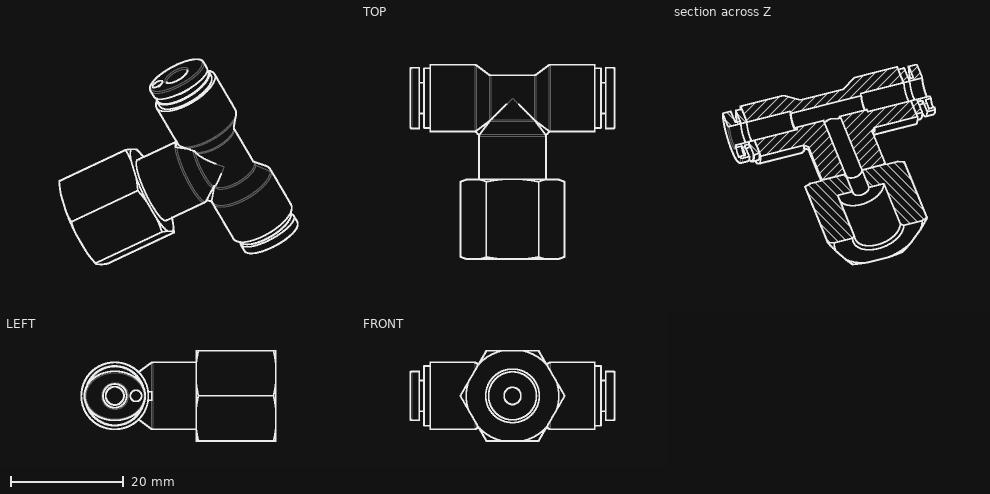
import cadquery as cq
import math


run_half_length = 18.1
nut_end_reach = 28.5
nut_length = 14.1
branch_length = nut_end_reach - nut_length

flange_thickness = 1.6
flange_width_y = 10.8
flange_width_z = 8.7
end_rounding = 0.25
neck_diameter = 5.5
neck_length = 0.8
sleeve_bore = 4.2
mark_hole_diameter = 2.0
mark_hole_depth = 1.0
mark_hole_offset = 3.75
sleeve_length = flange_thickness + neck_length

collar_diameter = 10.6
collar_length = 1.1
collar_bevel = 0.1
collar_face = run_half_length - sleeve_length

socket_diameter = 11.9
waist_diameter = 8.1
socket_end = collar_face - collar_length
cone_outer = 6.55
cone_inner = 4.0
cone_blend_radius = 0.5
web_thickness = 1.5
tube_bore = 4.18
tube_stop = cone_outer
run_bore = 3.2
branch_bore = 3.0

across_flats = 16.0
across_corners = across_flats / math.cos(math.radians(30))
corner_bevel_diameter = 16.4
corner_bevel_depth = 0.4
thread_bore = 8.5
thread_depth = 10.0
thread_mouth_bevel = 0.5


def cylinder(diameter, start, end):
    """Cylinder on the X axis between two X positions."""
    return cq.Workplane("YZ", origin=(start, 0, 0)).circle(diameter / 2).extrude(end - start)


def arm(length):
    """Waist, blended cone and full-diameter barrel on the X axis, starting at the centre."""
    waist_radius = waist_diameter / 2
    socket_radius = socket_diameter / 2
    solid = (
        cq.Workplane("XY")
        .polyline([
            (0, 0),
            (0, waist_radius),
            (cone_inner, waist_radius),
            (cone_outer, socket_radius),
            (length, socket_radius),
            (length, 0),
        ])
        .close()
        .revolve(360, (0, 0, 0), (1, 0, 0))
    )
    cone_rims = solid.faces("%CONE").edges("%CIRCLE")
    return cone_rims.fillet(cone_blend_radius)


def make_tee():
    right_arm = arm(socket_end)
    left_arm = right_arm.mirror("YZ")
    branch = arm(branch_length).rotate((0, 0, 0), (0, 0, 1), -90)

    shoulder = socket_diameter / 2
    web = (
        cq.Workplane("XY")
        .polyline([
            (-cone_outer, 0),
            (-cone_outer, -shoulder),
            (-shoulder, -cone_outer),
            (shoulder, -cone_outer),
            (cone_outer, -shoulder),
            (cone_outer, 0),
        ])
        .close()
        .extrude(web_thickness / 2, both=True)
    )

    tee = right_arm.union(left_arm).union(branch).union(web)
    tee = tee.cut(cylinder(run_bore, -socket_end, socket_end))
    for side in (-1, 1):
        tee = tee.cut(cylinder(tube_bore, side * tube_stop, side * socket_end))
    branch_passage = cylinder(branch_bore, 0, branch_length).rotate((0, 0, 0), (0, 0, 1), -90)
    return tee.cut(branch_passage)


def make_nut():
    nut = (
        cq.Workplane("XZ", origin=(0, -branch_length, 0))
        .polygon(6, across_corners)
        .extrude(nut_length)
    )

    middle_radius = across_corners / 2
    end_radius = corner_bevel_diameter / 2
    envelope = (
        cq.Workplane("XY")
        .polyline([
            (0, -branch_length),
            (end_radius, -branch_length),
            (middle_radius, -branch_length - corner_bevel_depth),
            (middle_radius, -nut_end_reach + corner_bevel_depth),
            (end_radius, -nut_end_reach),
            (0, -nut_end_reach),
        ])
        .close()
        .revolve(360, (0, 0, 0), (0, 1, 0))
    )
    nut = nut.intersect(envelope)

    outer_face = nut.faces("<Y").workplane(origin=(0, -nut_end_reach, 0))
    nut = outer_face.circle(thread_bore / 2).cutBlind(-thread_depth)
    mouth = nut.faces("<Y").edges(cq.selectors.RadiusNthSelector(0))
    nut = mouth.chamfer(thread_mouth_bevel)
    passage = cq.Workplane("XZ").circle(branch_bore / 2).extrude(nut_end_reach)
    return nut.cut(passage)


def make_collar():
    """Collar at the +X end."""
    collar = cylinder(collar_diameter, socket_end, collar_face)
    collar = collar.faces(">X").edges().chamfer(collar_bevel)
    return collar.cut(cylinder(tube_bore, socket_end, collar_face))


def make_sleeve():
    """Release sleeve at the +X end."""
    flange = (
        cq.Workplane("YZ", origin=(run_half_length - flange_thickness, 0, 0))
        .ellipse(flange_width_y / 2, flange_width_z / 2)
        .extrude(flange_thickness)
    )
    sleeve = flange.union(cylinder(neck_diameter, collar_face, run_half_length - flange_thickness))
    sleeve = sleeve.cut(cylinder(sleeve_bore, collar_face, run_half_length))

    sleeve = sleeve.faces(">X").edges().fillet(end_rounding)

    mark_hole = cylinder(mark_hole_diameter, run_half_length - mark_hole_depth, run_half_length)
    return sleeve.cut(mark_hole.translate((0, -mark_hole_offset, 0)))


def both_ends(solid):
    """A body at the +X end together with its mirror copy at the -X end."""
    return [solid.val(), solid.mirror("YZ").val()]


tee = make_tee()
nut = make_nut()


result = cq.Compound.makeCompound([
    tee.val(),
    nut.val(),
    *both_ends(make_collar()),
    *both_ends(make_sleeve()),
])